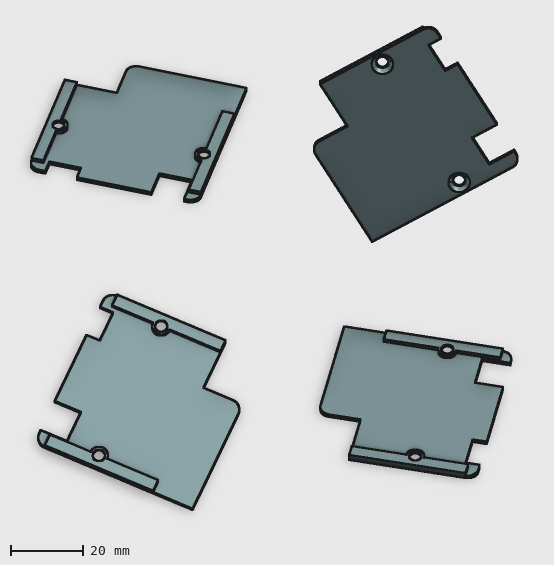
import cadquery as cq

length = 49.0
width = 48.0
total_height = 2.0
plate_thickness = total_height / 2
corner_radius = 3.0

step_length = 15.0
step_width = 12.0

left_notch_start = 4.9
left_notch_end = 14.0
left_notch_depth = 4.0
right_notch_start = length - 13.48
right_notch_end = length - 4.0
right_notch_depth = 8.0

rail_width = 3.5
rail_height = total_height - plate_thickness
rail_start = corner_radius
rail_end = width - step_width
boss_diameter = 5.0
hole_diameter = 3.4
hole_y = 18.0

sink_diameter = 6.0
sink_depth = (sink_diameter - hole_diameter) / 2


def box(x_start, x_end, y_start, y_end, z_start, z_end):
    """Box spanning the given limits on each axis."""
    size = (x_end - x_start, y_end - y_start, z_end - z_start)
    return cq.Workplane("XY").box(*size, centered=False).translate((x_start, y_start, z_start))


def make_plate():
    """Flat plate with a stepped corner, two notches and three rounded corners."""
    plate = box(0, length, 0, width, 0, plate_thickness)
    plate = plate.cut(box(0, step_length, rail_end, width, 0, plate_thickness))
    rounded_corners = [(0, 0), (length, 0), (step_length, width)]
    for x, y in rounded_corners:
        corner_edge = cq.selectors.NearestToPointSelector((x, y, plate_thickness / 2))
        plate = plate.edges("|Z").edges(corner_edge).fillet(corner_radius)
    plate = plate.cut(box(left_notch_start, left_notch_end, 0, left_notch_depth, 0, plate_thickness))
    return plate.cut(box(right_notch_start, right_notch_end, 0, right_notch_depth, 0, plate_thickness))


def make_rail(outer_x, inner_x):
    """Raised rail with a round boss centred on its inner edge."""
    x_start, x_end = sorted((outer_x, inner_x))
    rail = box(x_start, x_end, rail_start, rail_end, plate_thickness, total_height)
    boss = (
        cq.Workplane("XY", origin=(inner_x, hole_y, plate_thickness))
        .circle(boss_diameter / 2)
        .extrude(rail_height)
    )
    return rail.union(boss)


def make_hole_cutter(x):
    """Through hole with a conical countersink opening downwards."""
    bore = cq.Workplane("XY", origin=(x, hole_y, 0)).circle(hole_diameter / 2).extrude(total_height)
    sink = cq.Solid.makeCone(
        sink_diameter / 2,
        hole_diameter / 2,
        sink_depth,
        pnt=cq.Vector(x, hole_y, 0),
    )
    return bore.union(cq.Workplane(sink))


result = make_plate()
for outer_x, inner_x in [(0, rail_width), (length, length - rail_width)]:
    result = result.union(make_rail(outer_x, inner_x))
    result = result.cut(make_hole_cutter(inner_x))